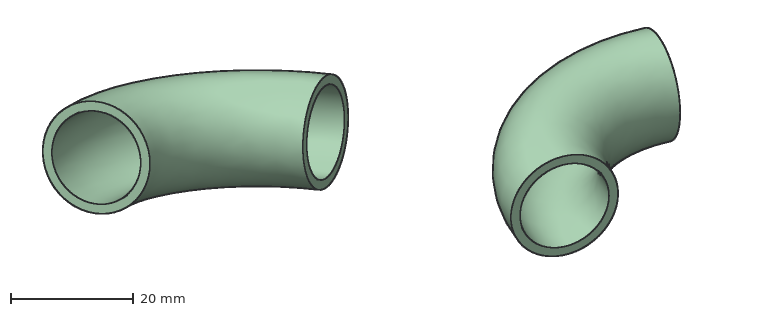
import cadquery as cq

tube_diameter = 19.05
wall_thickness = 1.65
bend_radius = 28.58
bend_angle = 90.0

bore_diameter = tube_diameter - 2 * wall_thickness


def bent_rod(diameter):
    """Round bar swept about a vertical axis through the origin, from -X round to +Y."""
    return (
        cq.Workplane("XZ")
        .center(-bend_radius, 0)
        .circle(diameter / 2)
        .revolve(bend_angle, (bend_radius, 0), (bend_radius, -1))
    )


result = bent_rod(tube_diameter).cut(bent_rod(bore_diameter))